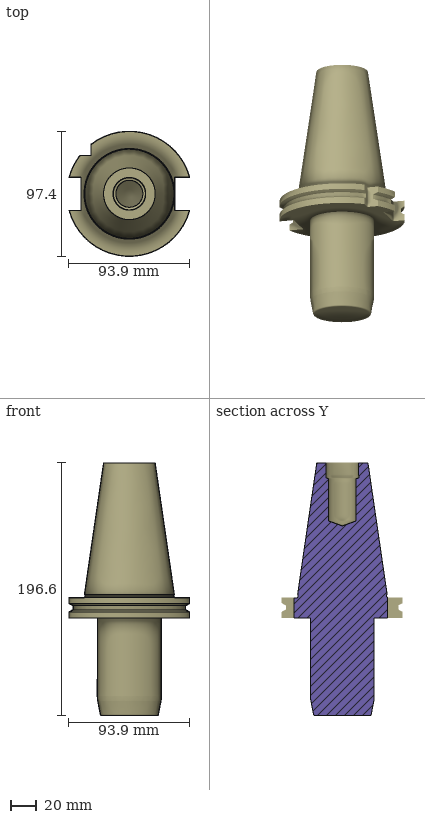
import cadquery as cq
import math

taper_length = 101.6
gauge_diameter = 69.85
taper_ratio = 7 / 24
taper_small_diameter = gauge_diameter - taper_ratio * taper_length

neck_diameter = 69.4
neck_top = -0.6
neck_top_chamfer = 0.4
neck_base_chamfer = 0.6
taper_large_diameter = gauge_diameter - taper_ratio * neck_top

flange_top = -3.2
flange_thickness = 15.9
flange_bottom = flange_top - flange_thickness
flange_diameter = 97.4
groove_center = -11.05
groove_floor_width = 3.25
groove_floor_diameter = 91.4
groove_wall_angle = 30
groove_depth = (flange_diameter - groove_floor_diameter) / 2
groove_mouth_width = groove_floor_width + 2 * groove_depth * math.tan(math.radians(groove_wall_angle))

slot_width = 25.7
slot_floor_left = 37.7
slot_floor_right = 35.5
notch_x = -30.0
notch_y = 30.0

overall_length = 196.6
nose_bottom = taper_length - overall_length
nose_diameter = 50.0
nose_taper_angle = 11
nose_taper_height = 13.1
nose_blend_radius = 20.0
nose_end_fillet = 1.0
nose_end_diameter = nose_diameter - 2 * nose_taper_height * math.tan(math.radians(nose_taper_angle))

bore_diameter = 25.01
bore_depth = 9.4
relief_diameter = 25.46
relief_depth = 11.4
core_diameter = 21.0
core_depth = 45.0
drill_point_angle = 140


def cone_height(diameter_change):
    """Height of a drill-point cone over which the diameter changes by the given amount."""
    return diameter_change / 2 / math.tan(math.radians(drill_point_angle / 2))


def revolve_outline(points):
    """Turn an outline of (radius, Z) points about the Z axis."""
    return cq.Workplane("XZ").polyline(points).close().revolve(360, (0, 0, 0), (0, 1, 0))


def make_taper_and_flange():
    flange_radius = flange_diameter / 2
    groove_radius = groove_floor_diameter / 2
    return revolve_outline([
        (0, taper_length),
        (taper_small_diameter / 2, taper_length),
        (taper_large_diameter / 2, neck_top),
        (neck_diameter / 2, neck_top - neck_top_chamfer),
        (neck_diameter / 2, flange_top + neck_base_chamfer),
        (neck_diameter / 2 + neck_base_chamfer, flange_top),
        (flange_radius, flange_top),
        (flange_radius, groove_center + groove_mouth_width / 2),
        (groove_radius, groove_center + groove_floor_width / 2),
        (groove_radius, groove_center - groove_floor_width / 2),
        (flange_radius, groove_center - groove_mouth_width / 2),
        (flange_radius, flange_bottom),
        (0, flange_bottom),
    ])


def make_nose():
    taper_top = nose_bottom + nose_taper_height
    nose = revolve_outline([
        (0, flange_bottom),
        (nose_diameter / 2, flange_bottom),
        (nose_diameter / 2, taper_top),
        (nose_end_diameter / 2, nose_bottom),
        (0, nose_bottom),
    ])
    shoulder = cq.selectors.NearestToPointSelector((0, 0, taper_top))
    nose = nose.edges(shoulder).fillet(nose_blend_radius)
    return nose.faces("<Z").edges().fillet(nose_end_fillet)


def make_flange_cutter(x_min, x_max, y_min, y_max):
    """Block that cuts through the full thickness of the flange."""
    return (
        cq.Workplane("XY", origin=(0, 0, flange_bottom))
        .center((x_min + x_max) / 2, (y_min + y_max) / 2)
        .rect(x_max - x_min, y_max - y_min)
        .extrude(flange_thickness)
    )


def make_bore():
    ledge_depth = relief_depth + cone_height(relief_diameter - core_diameter)
    tip_depth = core_depth + cone_height(core_diameter)
    return revolve_outline([
        (0, taper_length),
        (bore_diameter / 2, taper_length),
        (bore_diameter / 2, taper_length - bore_depth),
        (relief_diameter / 2, taper_length - bore_depth),
        (relief_diameter / 2, taper_length - relief_depth),
        (core_diameter / 2, taper_length - ledge_depth),
        (core_diameter / 2, taper_length - core_depth),
        (0, taper_length - tip_depth),
    ])


left_slot = make_flange_cutter(-flange_diameter, -slot_floor_left, -slot_width / 2, slot_width / 2)
right_slot = make_flange_cutter(slot_floor_right, flange_diameter, -slot_width / 2, slot_width / 2)
corner_notch = make_flange_cutter(-flange_diameter, notch_x, notch_y, flange_diameter)

result = (
    make_taper_and_flange()
    .cut(left_slot)
    .cut(right_slot)
    .cut(corner_notch)
    .union(make_nose())
    .cut(make_bore())
)